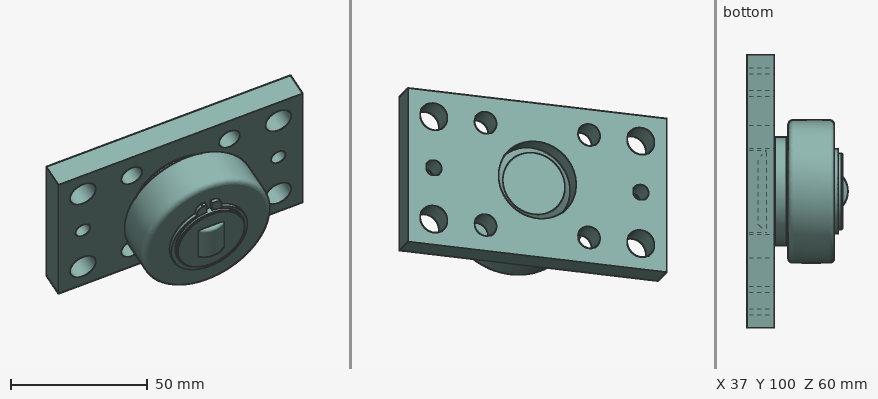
import cadquery as cq


PLATE_THICKNESS = 10
PLATE_WIDTH = 100
PLATE_HEIGHT = 60
EDGE_MARGIN = 10
HOLE_Y = PLATE_WIDTH / 2 - EDGE_MARGIN
HOLE_Z = PLATE_HEIGHT / 2 - EDGE_MARGIN
INNER_HOLE_Y = 20
CORNER_HOLE_DIAMETER = 10.5
INNER_HOLE_DIAMETER = 8.5
DOWEL_HOLE_DIAMETER = 6

PIN_DIAMETER = 30
PIN_RECESS = 4
PIN_CHAMFER = 3
NOSE_DIAMETER = 28
NOSE_END = 35
NOSE_CHAMFER = 0.4

COLLAR_DIAMETER = 40
COLLAR_CHAMFER = 0.4
ROLLER_GAP = 0.3
ROLLER_START = 15
ROLLER_WIDTH = 17
ROLLER_END = ROLLER_START + ROLLER_WIDTH
ROLLER_DIAMETER = 52.5
CROWN_RISE = 0.1
ROLLER_FILLET = 1.9

RING_THICKNESS = 1.5
RING_DIAMETER = 31.2
RING_OFFSET = 0.8
EAR_TOP = 17.8
EAR_OUTER_Y = 5
EAR_SHOULDER_Z = 14.6
EAR_FLAT_Y = 2.6
EAR_GAP = 2.2

SIDE_ROLLER_DIAMETER = 16.6
SIDE_ROLLER_LENGTH = 15
SIDE_ROLLER_FILLET = 1
OVERALL_LENGTH = 37


def cylinder(start, end, diameter):
    """Cylinder on the X axis from X = start to X = end."""
    return cq.Workplane("YZ", origin=(start, 0, 0)).circle(diameter / 2).extrude(end - start)


def make_plate():
    plate = cq.Workplane("YZ").rect(PLATE_WIDTH, PLATE_HEIGHT).extrude(PLATE_THICKNESS)
    hole_groups = [
        (CORNER_HOLE_DIAMETER, [(y, z) for y in (-HOLE_Y, HOLE_Y) for z in (-HOLE_Z, HOLE_Z)]),
        (INNER_HOLE_DIAMETER, [(y, z) for y in (-INNER_HOLE_Y, INNER_HOLE_Y) for z in (-HOLE_Z, HOLE_Z)]),
        (DOWEL_HOLE_DIAMETER, [(-HOLE_Y, 0), (HOLE_Y, 0)]),
        (PIN_DIAMETER, [(0, 0)]),
    ]
    for diameter, centres in hole_groups:
        holes = cq.Workplane("YZ").pushPoints(centres).circle(diameter / 2).extrude(PLATE_THICKNESS)
        plate = plate.cut(holes)
    return plate


def make_pin():
    shank = cylinder(PIN_RECESS, ROLLER_END, PIN_DIAMETER).faces("<X").chamfer(PIN_CHAMFER)
    nose = cylinder(ROLLER_END, NOSE_END, NOSE_DIAMETER).faces(">X").chamfer(NOSE_CHAMFER)
    return shank.union(nose)


def make_collar():
    collar = cylinder(PLATE_THICKNESS, ROLLER_START - ROLLER_GAP, COLLAR_DIAMETER)
    return collar.edges().chamfer(COLLAR_CHAMFER)


def make_roller():
    """Crowned roller with rounded rims."""
    crown_radius = ROLLER_DIAMETER / 2
    rim_radius = crown_radius - CROWN_RISE
    middle = (ROLLER_START + ROLLER_END) / 2
    profile = (
        cq.Workplane("XY")
        .moveTo(ROLLER_START, 0)
        .lineTo(ROLLER_START, rim_radius)
        .threePointArc((middle, crown_radius), (ROLLER_END, rim_radius))
        .lineTo(ROLLER_END, 0)
        .close()
    )
    roller = profile.revolve(360, (0, 0, 0), (1, 0, 0))
    return roller.faces("<X or >X").edges().fillet(ROLLER_FILLET)


def make_retaining_ring():
    """Open ring around the pin nose with two ears beside its gap."""
    start_plane = cq.Workplane("YZ", origin=(ROLLER_END, 0, 0))
    ring = start_plane.center(0, -RING_OFFSET).circle(RING_DIAMETER / 2).extrude(RING_THICKNESS)
    ears = (
        start_plane.moveTo(-EAR_OUTER_Y, 0)
        .lineTo(-EAR_OUTER_Y, EAR_SHOULDER_Z)
        .tangentArcPoint((-EAR_FLAT_Y, EAR_TOP), relative=False)
        .lineTo(EAR_FLAT_Y, EAR_TOP)
        .tangentArcPoint((EAR_OUTER_Y, EAR_SHOULDER_Z), relative=False)
        .lineTo(EAR_OUTER_Y, 0)
        .close()
        .extrude(RING_THICKNESS)
    )
    gap = start_plane.center(0, EAR_TOP / 2).rect(EAR_GAP, EAR_TOP).extrude(RING_THICKNESS)
    return ring.union(ears).cut(gap)


def make_side_roller():
    """Rounded cylinder along Z; only its outermost strip stands out of the pin nose."""
    radius = SIDE_ROLLER_DIAMETER / 2
    return (
        cq.Workplane("XY", origin=(OVERALL_LENGTH - radius, 0, -SIDE_ROLLER_LENGTH / 2))
        .circle(radius)
        .extrude(SIDE_ROLLER_LENGTH)
        .edges()
        .fillet(SIDE_ROLLER_FILLET)
    )


result = make_plate()
result = result.union(make_pin())
result = result.union(make_collar())
result = result.union(make_roller())
result = result.union(make_retaining_ring())
result = result.union(make_side_roller())